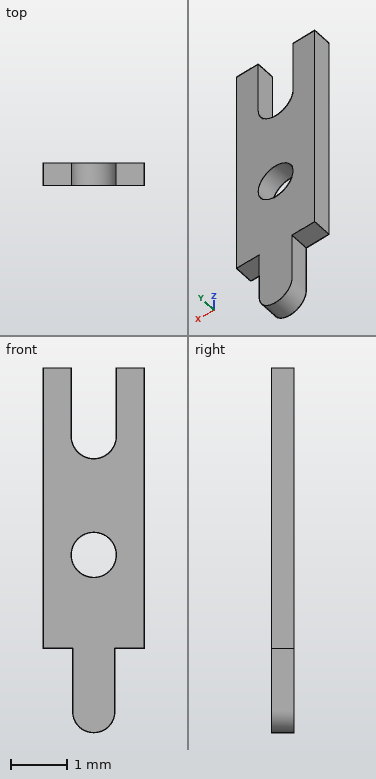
import cadquery as cq

total_height = 6.5
body_width = 1.8
thickness = 0.4

tab_length = 1.5
tab_width = 0.755
tab_radius = tab_width / 2

opening_diameter = 0.8
opening_radius = opening_diameter / 2
slot_depth = 1.62

body_height = total_height - tab_length
hole_height = tab_length + body_height / 3
slot_arc_height = total_height - slot_depth + opening_radius


def plate_blank():
    """Flat plate with the rounded tab and the open fork slot."""
    half_width = body_width / 2
    return (
        cq.Workplane("XZ", origin=(0, thickness / 2, 0))
        .moveTo(-half_width, total_height)
        .lineTo(-half_width, tab_length)
        .lineTo(-tab_radius, tab_length)
        .lineTo(-tab_radius, tab_radius)
        .threePointArc((0, 0), (tab_radius, tab_radius))
        .lineTo(tab_radius, tab_length)
        .lineTo(half_width, tab_length)
        .lineTo(half_width, total_height)
        .lineTo(opening_radius, total_height)
        .lineTo(opening_radius, slot_arc_height)
        .threePointArc((0, total_height - slot_depth), (-opening_radius, slot_arc_height))
        .lineTo(-opening_radius, total_height)
        .close()
        .extrude(thickness)
    )


def through_hole():
    """Cylinder that cuts the round hole through the thickness."""
    return (
        cq.Workplane("XZ", origin=(0, thickness / 2, hole_height))
        .circle(opening_radius)
        .extrude(thickness)
    )


result = plate_blank().cut(through_hole())